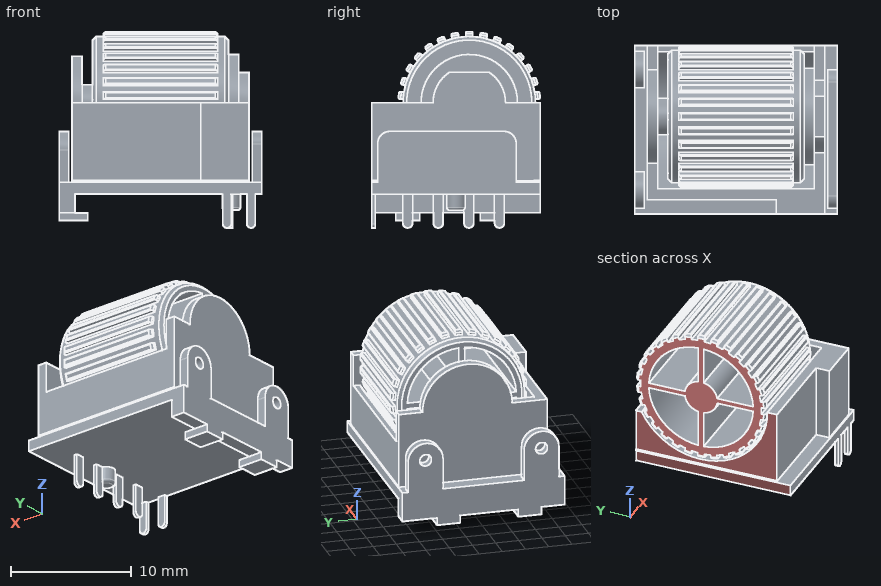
import cadquery as cq


LENGTH = 16.8
BACK_Y = 5.9
FRONT_Y = -8.1
MIDDLE_Y = (BACK_Y + FRONT_Y) / 2

WHEEL_LENGTH = 11.29
WHEEL_RADIUS = 5.5
WHEEL_BORE_RADIUS = 4.7
WHEEL_EDGE_CHAMFER = 0.3
END_WALL_THICKNESS = 0.8
SPOKE_THICKNESS = 0.5
SHAFT_RADIUS = 1.5
END_DISC_RADIUS = 4.0
RIDGE_COUNT = 30
RIDGE_TIP_RADIUS = BACK_Y
RIDGE_LENGTH = 9.5
RIDGE_WIDTH = 0.6
RIDGE_END_CHAMFER = 0.2
RIDGE_SIDE_CHAMFER = 0.08

HOUSING_LENGTH = 14.7
HOUSING_BOTTOM_Z = -6.47
CAVITY_LENGTH = 13.0
CAVITY_RADIUS = 6.0
FRONT_WALL_Y = -6.89
FRONT_BLOCK_LENGTH = 4.0
BACK_OPENING_Z = -2.7
LEFT_LOBE_RADIUS = 3.86
RIGHT_LOBE_RADIUS = 3.0
RIGHT_LOBE_TOP_Z = 2.5

PLATE_TOP_Z = -6.59
PLATE_THICKNESS = 0.99
PLATE_BOTTOM_Z = PLATE_TOP_Z - PLATE_THICKNESS
SKIRT_BOTTOM_Z = -9.14
SKIRT_THICKNESS = 1.33
FOOT_HEIGHT = 0.65
FOOT_LENGTH = 2.39
FOOT_WIDTH = 2.0
FOOT_OFFSETS_Y = (-4.0, 3.0)

EAR_THICKNESS = 0.8
EAR_TOP_Z = -2.39
EAR_WIDTH = 3.0
EAR_SPACING = 10.0
EAR_HOLE_DIAMETER = 1.0
TAB_WIDTH = 11.49
TAB_CORNER_RADIUS = 1.0

PIN_BOTTOM_Z = -10.4
PIN_THICKNESS = 0.3
ROW_PIN_RIGHT_X = 5.98
ROW_PIN_WIDTH = 0.82
ROW_PIN_COUNT = 4
ROW_PIN_PITCH = 2.54
ROW_PIN_FIRST_Y = -5.1
FRONT_PIN_WIDTH = 0.7
FRONT_PIN_CENTRES_X = (5.51, 7.51)
PEG_X = 5.88
PEG_DIAMETER = 1.53
PEG_BOTTOM_Z = -8.92
PEG_FILLET = 0.25


def box(x_min, x_max, y_min, y_max, z_min, z_max):
    size = (x_max - x_min, y_max - y_min, z_max - z_min)
    return cq.Workplane("XY").box(*size, centered=False).translate((x_min, y_min, z_min))


def disc(radius, x_min, x_max):
    """Cylinder about the wheel axis."""
    return cq.Workplane("YZ").workplane(offset=x_min).circle(radius).extrude(x_max - x_min)




def make_ridge():
    """Grip ridge on top of the wheel, rooted inside the rim, with its top edges chamfered."""
    root_radius = (WHEEL_RADIUS + WHEEL_BORE_RADIUS) / 2
    ridge = box(
        -RIDGE_LENGTH / 2, RIDGE_LENGTH / 2,
        -RIDGE_WIDTH / 2, RIDGE_WIDTH / 2,
        root_radius, RIDGE_TIP_RADIUS,
    )
    ridge = ridge.faces(">Z").edges("|Y").chamfer(RIDGE_END_CHAMFER)
    return ridge.faces(">Z").edges("|X").chamfer(RIDGE_SIDE_CHAMFER)


def make_wheel():
    """Spoked drum closed at its right end, with its shaft, end disc and grip ridges."""
    half_length = WHEEL_LENGTH / 2
    half_spoke = SPOKE_THICKNESS / 2
    spoke_reach = (WHEEL_RADIUS + WHEEL_BORE_RADIUS) / 2
    rim = disc(WHEEL_RADIUS, -half_length, half_length).edges().chamfer(WHEEL_EDGE_CHAMFER)
    wheel = rim.cut(disc(WHEEL_BORE_RADIUS, -half_length, half_length - END_WALL_THICKNESS))

    upright_spoke = box(-half_length, half_length, -half_spoke, half_spoke, -spoke_reach, spoke_reach)
    level_spoke = upright_spoke.rotate((0, 0, 0), (1, 0, 0), 90)
    shaft = disc(SHAFT_RADIUS, -CAVITY_LENGTH / 2, half_length)
    end_disc = disc(END_DISC_RADIUS, half_length, CAVITY_LENGTH / 2)
    wheel = wheel.union(upright_spoke).union(level_spoke).union(shaft).union(end_disc)

    ridge = make_ridge()
    for index in range(RIDGE_COUNT):
        wheel = wheel.union(ridge.rotate((0, 0, 0), (1, 0, 0), index * 360 / RIDGE_COUNT))
    return wheel




def make_housing():
    """Open-topped box with a round-bottomed cavity and a lobe on top of each side wall."""
    half_length = HOUSING_LENGTH / 2
    half_cavity = CAVITY_LENGTH / 2
    shell = box(-half_length, half_length, FRONT_WALL_Y, BACK_Y, HOUSING_BOTTOM_Z, 0)
    front_block = box(
        half_length - FRONT_BLOCK_LENGTH, half_length, FRONT_Y, FRONT_WALL_Y, HOUSING_BOTTOM_Z, 0
    )
    left_lobe = disc(LEFT_LOBE_RADIUS, -half_length, -half_cavity)
    below_flat = box(half_cavity, half_length, FRONT_Y, BACK_Y, HOUSING_BOTTOM_Z, RIGHT_LOBE_TOP_Z)
    right_lobe = disc(RIGHT_LOBE_RADIUS, half_cavity, half_length).intersect(below_flat)
    cavity = disc(CAVITY_RADIUS, -half_cavity, half_cavity)
    back_opening = box(-half_cavity, half_cavity, 0, BACK_Y, BACK_OPENING_Z, 0)
    housing = shell.union(front_block).union(left_lobe).union(right_lobe)
    return housing.cut(cavity).cut(back_opening)




def make_plate_and_skirt():
    left_x = -LENGTH / 2
    plate = box(left_x, LENGTH / 2, FRONT_Y, BACK_Y, PLATE_BOTTOM_Z, PLATE_TOP_Z)
    skirt = box(left_x, left_x + SKIRT_THICKNESS, FRONT_Y, BACK_Y, SKIRT_BOTTOM_Z, PLATE_BOTTOM_Z)
    base = plate.union(skirt)
    for offset in FOOT_OFFSETS_Y:
        y = MIDDLE_Y + offset
        foot = box(
            left_x, left_x + FOOT_LENGTH,
            y - FOOT_WIDTH / 2, y + FOOT_WIDTH / 2,
            SKIRT_BOTTOM_Z - FOOT_HEIGHT, SKIRT_BOTTOM_Z,
        )
        base = base.union(foot)
    return base


def make_ear(y):
    """Round-topped ear with a hole at the centre of its rounding."""
    hole_z = EAR_TOP_Z - EAR_WIDTH / 2
    ear = (
        cq.Workplane("YZ")
        .moveTo(y - EAR_WIDTH / 2, PLATE_TOP_Z)
        .lineTo(y - EAR_WIDTH / 2, hole_z)
        .threePointArc((y, EAR_TOP_Z), (y + EAR_WIDTH / 2, hole_z))
        .lineTo(y + EAR_WIDTH / 2, PLATE_TOP_Z)
        .close()
        .extrude(EAR_THICKNESS)
    )
    hole = cq.Workplane("YZ").center(y, hole_z).circle(EAR_HOLE_DIAMETER / 2).extrude(EAR_THICKNESS)
    return ear.cut(hole).translate((-LENGTH / 2, 0, 0))


def make_tab():
    """Wide tab on the right edge, its back side level with the centre of the back ear."""
    tab_back_y = MIDDLE_Y + EAR_SPACING / 2
    tab = box(
        LENGTH / 2 - EAR_THICKNESS, LENGTH / 2,
        tab_back_y - TAB_WIDTH, tab_back_y,
        PLATE_TOP_Z, EAR_TOP_Z,
    )
    return tab.faces(">Z").edges("|X").fillet(TAB_CORNER_RADIUS)


def make_flat_pin(width):
    """Round-ended flat pin centred on Y = 0, its left face on X = 0."""
    radius = width / 2
    shoulder_z = PIN_BOTTOM_Z + radius
    return (
        cq.Workplane("YZ")
        .moveTo(-radius, PLATE_BOTTOM_Z)
        .lineTo(-radius, shoulder_z)
        .threePointArc((0, PIN_BOTTOM_Z), (radius, shoulder_z))
        .lineTo(radius, PLATE_BOTTOM_Z)
        .close()
        .extrude(PIN_THICKNESS)
    )


def make_peg():
    height = PLATE_BOTTOM_Z - PEG_BOTTOM_Z
    peg = cq.Workplane("XY").circle(PEG_DIAMETER / 2).extrude(height)
    peg = peg.faces("<Z").edges().fillet(PEG_FILLET)
    return peg.translate((PEG_X, MIDDLE_Y, PEG_BOTTOM_Z))


def make_base():
    base = make_plate_and_skirt().union(make_tab()).union(make_peg())
    for side in (-1, 1):
        base = base.union(make_ear(MIDDLE_Y + side * EAR_SPACING / 2))

    row_pin = make_flat_pin(ROW_PIN_WIDTH)
    for index in range(ROW_PIN_COUNT):
        y = ROW_PIN_FIRST_Y + index * ROW_PIN_PITCH
        base = base.union(row_pin.translate((ROW_PIN_RIGHT_X - PIN_THICKNESS, y, 0)))

    front_pin = make_flat_pin(FRONT_PIN_WIDTH).rotate((0, 0, 0), (0, 0, 1), 90)
    for x in FRONT_PIN_CENTRES_X:
        base = base.union(front_pin.translate((x, FRONT_Y, 0)))
    return base


wheel = make_wheel()
housing = make_housing()
base = make_base()

result = cq.Compound.makeCompound([wheel.solids().val(), housing.solids().val(), base.solids().val()])